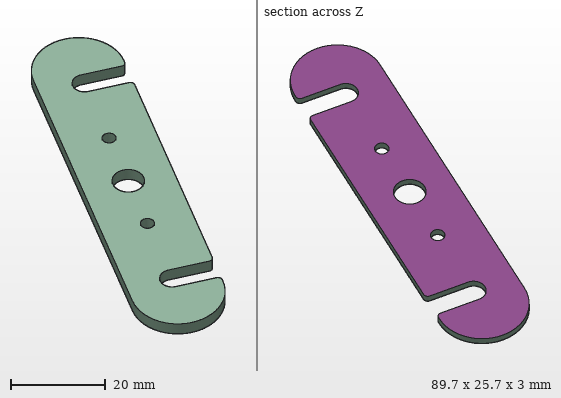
import cadquery as cq
import math

total_length = 89.7
total_depth = 25.7
thickness = 3.0

bar_width = 20.0
end_run = total_length - bar_width
end_rise = total_depth - bar_width
bar_length = math.hypot(end_run, end_rise) + bar_width
tilt_degrees = math.degrees(math.atan2(end_rise, end_run))

center_hole_diameter = 6.8
side_hole_diameter = 3.0
side_hole_offset = 13.5

slot_width = 5.2
slot_offset = 30.9
mouth_radius = 1.0


def make_bar():
    return cq.Workplane("XY").slot2D(bar_length, bar_width).extrude(thickness)


def make_slot(x):
    """Round-bottomed slot cutter running from the centreline out of the upper edge."""
    round_bottom = cq.Workplane("XY").center(x, 0).circle(slot_width / 2).extrude(thickness)
    channel = (
        cq.Workplane("XY")
        .center(x, bar_width / 2)
        .rect(slot_width, bar_width)
        .extrude(thickness)
    )
    return round_bottom.union(channel)


def round_slot_mouths(plate):
    """Round the four corners where the slot walls meet the upper edge."""
    margin = 0.1
    mouth_corners = cq.selectors.BoxSelector(
        (-slot_offset - slot_width / 2 - margin, bar_width / 2 - margin, -margin),
        (slot_offset + slot_width / 2 + margin, bar_width / 2 + margin, thickness + margin),
    )
    return plate.edges("|Z").edges(mouth_corners).fillet(mouth_radius)


plate = make_bar()
for side in (-1, 1):
    plate = plate.cut(make_slot(side * slot_offset))
plate = round_slot_mouths(plate)

plate = plate.faces(">Z").workplane(origin=(0, 0, thickness)).hole(center_hole_diameter)
plate = (
    plate.faces(">Z")
    .workplane(origin=(0, 0, thickness))
    .pushPoints([(-side_hole_offset, 0), (side_hole_offset, 0)])
    .hole(side_hole_diameter)
)

result = plate.rotate((0, 0, 0), (0, 0, 1), -tilt_degrees)